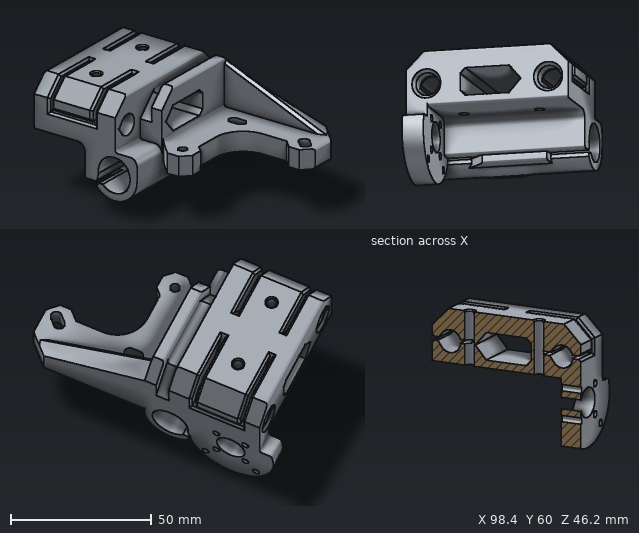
import cadquery as cq
import math

depth = 60.0
block_left = 5.4
block_right = 41.2
block_bottom = 25.9
top = 46.2
end_bevel = 6.8
edge_round = 1.0

plate_thickness = 8.0
plate_front = depth - plate_thickness
motor_radius = 16.8
motor_x = motor_radius
motor_z = motor_radius
motor_bore = 11.0
motor_hole = 2.5
inner_hole_offset = 5.7
outer_hole_offset = 9.9
ear_top = 22.05

clip_x = 40.8
clip_z = motor_z
clip_bore = 14.0
clip_radius = 10.0
clip_right = clip_x + clip_radius
column_left = 27.9
column_bottom = 12.4
column_foot_round = 0.8
column_root_round = 3.4
slit_height = 0.4
lip_left = 33.2
lip_top = column_bottom - slit_height
lip_round = 1.2
tip_upper_x = 33.8
tip_upper_z = 15.75
tip_lower_x = 32.7
tip_lower_z = 12.8
shoulder_top = 25.7
shoulder_round = 3.1

tab_front = 14.1
tab_back = 38.0
tab_bottom = 8.9
tab_round = 0.8
tab_overlap = 2.0

rail_front = 15.1
rail_left = 46.3
rail_bevel_start = 39.2
channel_floor = 41.2
channel_front_edge = 33.6
channel_back_edge = 32.2

rod_z = 34.1
front_rod_y = 7.4
back_rod_y = depth - 7.6
rod_bore = 8.3
rod_tip = 5.1
rod_mouth = 10.6
clamp_x = 22.0
clamp_hole = 3.5
clamp_sink = 4.6
clamp_front_y = 15.2
clamp_back_y = 43.1
slit_bottom = 33.9
slit_roof = 35.0
slit_left = (12.2, 13.3)
slit_right = (30.9, 32.4)
slit_mouth_bevel = 0.9
front_slit_floor = 14.9
front_slit_top = 25.2
back_slit_floor = depth - 14.9
back_slit_top = depth - 26.1
window_front = 17.5
window_back = 40.0
window_bottom = 28.9
window_top = 39.0
window_corner = 2.0
window_point = 4.4

wing_bottom = 19.0
wing_top = wing_bottom + plate_thickness
wing_end = 98.4
wing_end_round = 1.0
wing_end_corner = 7.9
wing_root_y = 16.0
wing_root_bend = (54.5, 12.0)
end_lug_front = 38.4
end_lug_left = 89.9
end_lug_right = 94.3
pivot_lug_front = 8.6
pivot_lug_left = 58.0
pivot_lug_right = 66.4
pivot_lug_bevel = 3.5
pivot_lug_side_front = pivot_lug_front + pivot_lug_bevel
pivot_lug_side_back = 17.0
wing_inner_x = 63.9
wing_inner_y = 41.9
wing_inner_radius = 11.8
pattern_x = 60.3
pattern_y = 14.6
pattern_pitch = 31.0
pivot_hole = 3.4
slot_width = 4.0
slot_travel = 3.15

rib_front = depth - 6.9
rib_crest_y = 54.4
rib_bevel = 1.2
rib_end_fall = 0.9
rib_root = 0.3
rib_start_crest = top - (rib_crest_y - (depth - end_bevel))
rib_end = 94.7

boss_x = 79.0
boss_y = 51.2
boss_top_radius = 5.9
boss_bottom_radius = 2.7
boss_height = 1.8


def box(x0, x1, y0, y1, z0, z1):
    return cq.Workplane("XY").box(x1 - x0, y1 - y0, z1 - z0, centered=False).translate((x0, y0, z0))


def along_x(points, x0, x1):
    """Prism along X from (y, z) points."""
    return cq.Workplane("YZ", origin=(x0, 0, 0)).polyline(points).close().extrude(x1 - x0)


def along_y(points, y0, y1):
    """Prism along Y from (x, z) points."""
    return cq.Workplane("XZ", origin=(0, y0, 0)).polyline(points).close().extrude(y0 - y1)


def disc_y(x, z, radius, y0, y1):
    """Cylinder along Y."""
    return cq.Workplane("XZ", origin=(x, y0, z)).circle(radius).extrude(y0 - y1)


def near_edges(x, z, reach=0.1):
    """Selector for the edges that run along Y at (x, z)."""
    return cq.selectors.BoxSelector((x - reach, -1, z - reach), (x + reach, depth + 1, z + reach))


def round_edge(solid, x, z, radius):
    return solid.edges("|Y").edges(near_edges(x, z)).fillet(radius)


def clamp_slit(mouth_y, floor_y, top_y):
    """U-shaped cut with a sloped inner end that frees a clamping flap."""
    slope = (top_y - floor_y) / (top - slit_bottom)
    roof_y = floor_y + slope * (slit_roof - slit_bottom)
    side = [(mouth_y, slit_bottom), (floor_y, slit_bottom), (top_y, top), (mouth_y, top)]
    under = [(mouth_y, slit_bottom), (floor_y, slit_bottom), (roof_y, slit_roof), (mouth_y, slit_roof)]
    return (
        along_x(side, *slit_left)
        .union(along_x(side, *slit_right))
        .union(along_x(under, slit_left[0], slit_right[1]))
    )


def slit_mouth_edges(block):
    """Edges of both slits that lie on the top, the end bevels and the end faces."""
    slit_sides = slit_left + slit_right
    tolerance = 0.01
    found = []
    for edge in block.edges().vals():
        middle = edge.Center()
        end_gap = min(middle.y, depth - middle.y)
        skin_gap = min(end_gap, top - middle.z, (end_gap + top - middle.z - end_bevel) / math.sqrt(2))
        is_side = min(abs(middle.x - x) for x in slit_sides) < tolerance
        is_level = min(abs(middle.z - z) for z in (slit_bottom, slit_roof)) < tolerance
        is_wide = edge.BoundingBox().xlen > slit_right[0] - slit_left[1] - tolerance
        if skin_gap < tolerance and (is_side or (is_level and is_wide)):
            found.append(edge)
    return found


def main_block():
    block = box(block_left, block_right, 0, depth, block_bottom, top)
    for x, z in ((block_left, top), (block_right, top), (block_left, block_bottom)):
        block = round_edge(block, x, z, edge_round)
    outline = [
        (0, block_bottom), (depth, block_bottom), (depth, top - end_bevel),
        (depth - end_bevel, top), (end_bevel, top), (0, top - end_bevel),
    ]
    block = block.intersect(along_x(outline, block_left, block_right))
    block = block.cut(clamp_slit(0, front_slit_floor, front_slit_top))
    block = block.cut(clamp_slit(depth, back_slit_floor, back_slit_top))
    return block.newObject(slit_mouth_edges(block)).chamfer(slit_mouth_bevel)


def channel_and_rail():
    """Low channel and full-height rail, both bevelled at 45 degrees at each end."""
    front_run = channel_floor - channel_front_edge
    back_run = channel_floor - channel_back_edge
    channel = along_x([
        (rail_front, clip_z), (depth, clip_z), (depth, channel_back_edge),
        (depth - back_run, channel_floor), (rail_front + front_run, channel_floor),
        (rail_front, channel_front_edge),
    ], block_right - edge_round, rail_left + edge_round)
    rail = box(rail_left, clip_right, rail_front, depth, clip_z, top)
    for x in (rail_left, clip_right):
        rail = round_edge(rail, x, top, edge_round)
    rail_run = top - rail_bevel_start
    rail = rail.intersect(along_x([
        (rail_front, clip_z), (depth, clip_z), (depth, top - end_bevel), (depth - end_bevel, top),
        (rail_front + rail_run, top), (rail_front, rail_bevel_start),
    ], rail_left, clip_right))
    return channel.union(rail)


def clip_body():
    """Column and ring that surround the tube."""
    shoulder = box(clip_x, clip_right, 0, depth, clip_z, shoulder_top)
    shoulder = round_edge(shoulder, clip_right, shoulder_top, shoulder_round)
    column = box(column_left, block_right, 0, depth, column_bottom, block_bottom + edge_round)
    column = round_edge(column, column_left, column_bottom, column_foot_round)
    ring = disc_y(clip_x, clip_z, clip_radius, 0, depth)
    ring = ring.intersect(box(lip_left, clip_right, 0, depth, 0, lip_top).union(
        box(clip_x, clip_right, 0, depth, 0, shoulder_top)))
    ring = round_edge(ring, lip_left, lip_top, lip_round)
    return column.union(shoulder).union(ring)


def column_tip_cut():
    """Blunts the thin edge between the tube bore and the underside of the column."""
    return along_y([
        (clip_x, clip_z), (tip_upper_x, tip_upper_z), (lip_left, tip_lower_z),
        (tip_lower_x, column_bottom), (clip_x, column_bottom),
    ], 0, depth)


def release_tab():
    """Lip extension whose back end tapers into the ring at 45 degrees."""
    reach = lip_left + tab_overlap
    tab = box(column_left, reach, tab_front, depth, tab_bottom, lip_top)
    for z in (tab_bottom, lip_top):
        tab = round_edge(tab, column_left, z, tab_round)
    outline = (
        cq.Workplane("XY")
        .polyline([
            (column_left, tab_front), (reach, tab_front),
            (reach, tab_back + reach - column_left), (column_left, tab_back),
        ])
        .close()
        .extrude(top)
    )
    return tab.intersect(outline)


def motor_plate():
    disc = disc_y(motor_x, motor_z, motor_radius, plate_front, depth)
    disc = disc.intersect(box(0, 2 * motor_radius, plate_front, depth, 0, ear_top))
    ear_left = motor_x - math.sqrt(motor_radius ** 2 - (ear_top - motor_z) ** 2)
    disc = round_edge(disc, ear_left, ear_top, edge_round)
    web = box(block_left, column_left + edge_round, plate_front, depth, motor_z, block_bottom + edge_round)
    return round_edge(disc.union(web), block_left, ear_top, edge_round)


def wing_outline(z0, z1):
    """Prism of the wing plan with 45 degree bevels around both lugs."""
    return (
        cq.Workplane("XY", origin=(0, 0, z0))
        .moveTo(block_right, depth)
        .lineTo(wing_end - wing_end_corner, depth)
        .lineTo(wing_end, depth - wing_end_corner)
        .lineTo(wing_end, end_lug_front + wing_end - end_lug_right)
        .lineTo(end_lug_right, end_lug_front)
        .lineTo(end_lug_left, end_lug_front)
        .lineTo(end_lug_left - (wing_inner_y - end_lug_front), wing_inner_y)
        .lineTo(wing_inner_x + wing_inner_radius, wing_inner_y)
        .radiusArc((wing_inner_x, wing_inner_y - wing_inner_radius), -wing_inner_radius)
        .lineTo(wing_inner_x, pivot_lug_side_back + pivot_lug_right - wing_inner_x)
        .lineTo(pivot_lug_right, pivot_lug_side_back)
        .lineTo(pivot_lug_right, pivot_lug_side_front)
        .lineTo(pivot_lug_right - pivot_lug_bevel, pivot_lug_front)
        .lineTo(pivot_lug_left, pivot_lug_front)
        .lineTo(*wing_root_bend)
        .lineTo(clip_right, wing_root_y)
        .lineTo(block_right, wing_root_y)
        .close()
        .extrude(z1 - z0)
    )


def rib_section(x, crest, back):
    """(y, z) section of the rib at x, from just inside the wing up to its crest."""
    points = [
        (rib_front, wing_bottom + rib_root), (rib_front, crest - rib_bevel), (rib_crest_y, crest),
        (depth, back), (depth, wing_bottom + rib_root),
    ]
    return cq.Wire.makePolygon([cq.Vector(x, y, z) for y, z in points], close=True)


def wing():
    plate = wing_outline(wing_bottom, wing_top)
    plate = plate.faces(">X").edges("|Y").fillet(wing_end_round)
    rib = cq.Workplane(cq.Solid.makeLoft([
        rib_section(clip_right - rib_root, rib_start_crest, top - end_bevel),
        rib_section(rib_end, wing_top, wing_top - rib_end_fall),
    ], True))
    boss = (
        cq.Workplane("XY", origin=(boss_x, boss_y, wing_bottom))
        .circle(boss_top_radius)
        .workplane(offset=-boss_height)
        .circle(boss_bottom_radius)
        .loft()
    )
    return plate.union(rib.intersect(wing_outline(wing_bottom, top))).union(boss)


def slot(x, y, angle):
    """Vertical slot through the wing that starts at (x, y) and runs along the angle."""
    start = cq.Workplane("XY").center(x, y).transformed(rotate=(0, 0, angle))
    return start.center(slot_travel / 2, 0).slot2D(slot_travel + slot_width, slot_width).extrude(top)


def rod_hole(y, x_end):
    """Teardrop bore along X with a conical mouth."""
    radius = rod_bore / 2
    touch_y = radius ** 2 / rod_tip
    touch_z = radius * math.sqrt(1 - (radius / rod_tip) ** 2)
    length = x_end - block_left
    start = cq.Workplane("YZ", origin=(block_left, y, rod_z))
    bore = start.circle(radius).extrude(length)
    tip_points = [(0, 0), (-touch_y, touch_z), (-rod_tip, 0), (-touch_y, -touch_z)]
    tip = start.polyline(tip_points).close().extrude(length)
    mouth_depth = (rod_mouth - rod_bore) / 2
    mouth = start.circle(rod_mouth / 2).workplane(offset=mouth_depth).circle(radius).loft()
    return bore.union(tip).union(mouth)


def clamp_screw(y):
    hole = cq.Workplane("XY").center(clamp_x, y).circle(clamp_hole / 2).extrude(top)
    sink_depth = (clamp_sink - clamp_hole) / 2
    sink = (
        cq.Workplane("XY", origin=(clamp_x, y, top))
        .circle(clamp_sink / 2)
        .workplane(offset=-sink_depth)
        .circle(clamp_hole / 2)
        .loft()
    )
    return hole.union(sink)


def window():
    middle = (window_bottom + window_top) / 2
    return along_x([
        (window_front, middle), (window_front + window_point, window_bottom),
        (window_back - window_corner, window_bottom), (window_back, window_bottom + window_corner),
        (window_back, window_top - window_corner), (window_back - window_corner, window_top),
        (window_front + window_point, window_top),
    ], block_left, clip_right)


def motor_cuts():
    cuts = disc_y(motor_x, motor_z, motor_bore / 2, plate_front, depth)
    centers = [(sx * inner_hole_offset, sz * inner_hole_offset) for sx in (-1, 1) for sz in (-1, 1)]
    centers += [(sx * outer_hole_offset, -outer_hole_offset) for sx in (-1, 1)]
    for dx, dz in centers:
        cuts = cuts.union(disc_y(motor_x + dx, motor_z + dz, motor_hole / 2, plate_front, depth))
    return cuts


body = round_edge(main_block().union(clip_body()), column_left, block_bottom, column_root_round)
body = body.union(channel_and_rail())
for edge_x, edge_z in ((block_right, channel_floor), (rail_left, channel_floor)):
    body = round_edge(body, edge_x, edge_z, edge_round)
body = round_edge(body, block_right, shoulder_top, edge_round)
body = body.union(motor_plate()).union(release_tab()).union(wing())
body = round_edge(body, clip_right, wing_top, edge_round)

body = body.cut(disc_y(clip_x, clip_z, clip_bore / 2, 0, depth))
body = body.cut(column_tip_cut())
body = body.cut(motor_cuts()).cut(window())
body = body.cut(rod_hole(front_rod_y, block_right)).cut(rod_hole(back_rod_y, block_right))
for screw_y in (clamp_front_y, clamp_back_y):
    body = body.cut(clamp_screw(screw_y))
body = body.cut(cq.Workplane("XY").center(pattern_x, pattern_y).circle(pivot_hole / 2).extrude(top))
body = body.cut(slot(pattern_x, pattern_y + pattern_pitch, 0))
body = body.cut(slot(pattern_x + pattern_pitch, pattern_y + pattern_pitch, -45))

result = body